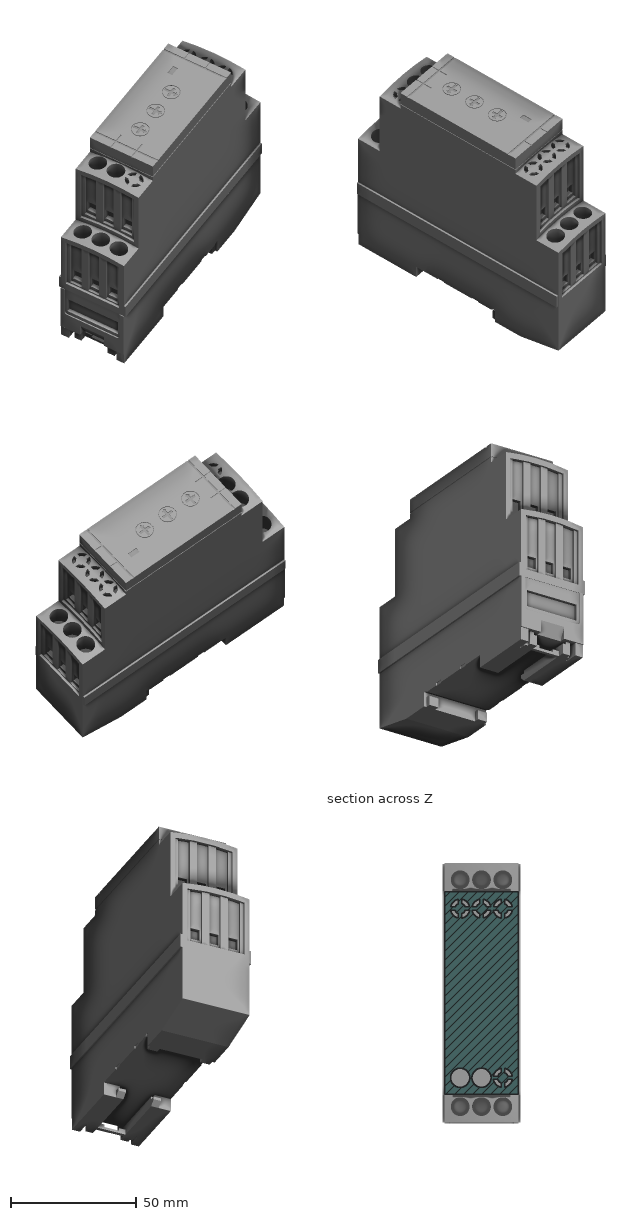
import cadquery as cq
import math

LENGTH = 103.8
WIDTH = 31.1
HEIGHT = 96.9
EPS = 1.0

BODY_WIDTH = 29.6
HALF_BODY = BODY_WIDTH / 2
END_INSET = 0.3
FOOT_INSET = 0.5

LOWER_HALF = LENGTH / 2
UPPER_HALF = 40.5
COVER_HALF = 29.7
LOWER_EDGE_Z = 58.2
UPPER_EDGE_Z = 88.4
CROWN_RISE = 1.2
CROWN_RADIUS = (HALF_BODY**2 + CROWN_RISE**2) / (2 * CROWN_RISE)
FLANGE_BOTTOM = 28.3
FLANGE_TOP = 34.4
COVER_GROOVE_Z = 90.6
COVER_GROOVE_HEIGHT = 0.5
COVER_GROOVE_DEPTH = 0.2

TERMINAL_XS = (-8.5, 0.0, 8.5)
SCREW_RADIUS = 3.7
LOWER_SCREW_Y = 45.2
UPPER_SCREW_Y = 33.7
SCREW_HOLE_DEPTH = 8.3
SCREW_INNER_RADIUS = 2.2
SCREW_ARM = 1.6
SCREW_POCKET_DEPTH = 2.1
PANEL_WIDTH = 25.1
PANEL_TOP_GAP = 2.5
PANEL_DEPTH = 1.0
SLOT_XS = (-8.4, 0.0, 8.4)
SLOT_WIDTHS = (5.3, 5.0, 5.3)
SLOT_DEPTH = 1.0
WIRE_WIDTH = 3.9
WIRE_HEIGHT = 5.0
WIRE_DEPTH = 1.9
WIRE_RISE = 1.8
LOWER_PANEL_Z = 31.9
LOWER_SLOT_Z = 32.6
UPPER_PANEL_Z = 61.7
UPPER_SLOT_Z = 62.8

MARK_DEPTH = 0.3
STRIP_GROOVE_Y = 25.9
STRIP_GROOVE_WIDTH = 0.8
DIVIDER_X = 4.9
DIVIDER_WIDTH = 0.5
FRONT_DIVIDER_END = 21.9
LAMP_WIDTH = 2.2
LAMP_LENGTH = 4.3
LAMP_X = -5.6
LAMP_Y = 18.3
DIAL_YS = (8.1, -3.6, -15.4)
DIAL_RADIUS = 3.7
DIAL_RING = 0.3
DIAL_SLOT = 1.1
DIAL_SLOT_LENGTH = 4.8
DIAL_POINTER_TAIL = -3.0
DIAL_POINTER_NECK = 1.9
DIAL_POINTER_TIP = 2.9

WINDOW_WIDTH = 25.8
WINDOW_BOTTOM = 13.9
WINDOW_CORNER = 1.2
WINDOW_DEPTH = 0.5
WINDOW_POCKET_WIDTH = 23.7
WINDOW_POCKET_BOTTOM = 15.7
WINDOW_POCKET_TOP = 22.8
WINDOW_POCKET_DEPTH = 1.6

SEAT_Z = 5.6
SEAT_BACK = 19.2
SEAT_FRONT = -21.6
RELIEF_Z = 6.3
RELIEF_WIDTH = 2.1
BACK_BEVEL_Y = 32.2
BACK_BEVEL_Z = 4.0
HOOK_REACH = 2.3
BACK_HOOK_TOP = 4.5
BACK_HOOK_BEVEL = 0.5
BACK_HOOK_INNER = 9.4
BACK_HOOK_OUTER = 13.7
FRONT_HOOK_TOP = 3.2
FRONT_HOOK_TIP_Z = 2.0
SIDE_NOTCH_YS = (8.7, -8.8)
SIDE_NOTCH_WIDTH = 3.3
SIDE_NOTCH_HEIGHT = 1.1
SIDE_NOTCH_DEPTH = 0.3

FOOT_INNER = 11.2
CLIP_OUTER = 9.4
CLIP_INNER = 6.1
CLIP_SETBACK = 1.3
SLIT_DEPTH = 6.2
POST_OUTER = 10.7
POST_SETBACK = 3.1
POST_ROUND = 1.0
CLIP_RAIL_HALF = 7.7
CLIP_RAIL_HEIGHT = 1.1
TONGUE_SETBACK = 4.3
TONGUE_THICKNESS = 1.6
TONGUE_HIGH = 2.3
TONGUE_LOW = 1.1
TONGUE_DIP_HALF = 3.2
TOOL_SLOT_WIDTH = 11.1
TOOL_SLOT_TOP = 10.9
TOOL_SLOT_DEPTH = 2.7


def block(x_range, y_range, z_range):
    """Box spanning the given ranges."""
    (x0, x1), (y0, y1), (z0, z1) = x_range, y_range, z_range
    return cq.Workplane("XY").box(x1 - x0, y1 - y0, z1 - z0, centered=False).translate((x0, y0, z0))


def centred_block(width, y_range, z_range):
    """Box centred on X."""
    return block((-width / 2, width / 2), y_range, z_range)


def side_profile(points, x0, x1):
    """Extrude a (Y, Z) outline from x0 to x1."""
    return cq.Workplane("YZ", origin=(x0, 0, 0)).polyline(points).close().extrude(x1 - x0)


def both_sides(shape):
    """The shape and its mirror image in the X = 0 plane."""
    return shape.union(shape.mirror("YZ"))


def both_ends(shape):
    """The shape and its mirror image in the Y = 0 plane."""
    return shape.union(shape.mirror("XZ"))


def arched_block(width, y_range, bottom, crown, bottom_arched=False):
    """Block whose top, and optionally bottom, follows the tier arch."""
    half = width / 2
    drop = CROWN_RADIUS - math.sqrt(CROWN_RADIUS**2 - half**2)
    y0, y1 = y_range
    outline = cq.Workplane("XZ", origin=(0, y1, 0)).moveTo(half, crown - drop)
    outline = outline.threePointArc((0, crown), (-half, crown - drop))
    if bottom_arched:
        outline = outline.lineTo(-half, bottom - drop)
        outline = outline.threePointArc((0, bottom), (half, bottom - drop))
    else:
        outline = outline.lineTo(-half, bottom).lineTo(half, bottom)
    return outline.close().extrude(y1 - y0)


def make_housing():
    lower_crown = LOWER_EDGE_Z + CROWN_RISE
    upper_crown = UPPER_EDGE_Z + CROWN_RISE
    flange_half = LOWER_HALF - END_INSET
    housing = arched_block(BODY_WIDTH, (-flange_half, LOWER_HALF), FLANGE_BOTTOM, lower_crown)
    housing = housing.union(arched_block(BODY_WIDTH, (-UPPER_HALF, UPPER_HALF), FLANGE_TOP, upper_crown))
    housing = housing.union(centred_block(BODY_WIDTH, (-COVER_HALF, COVER_HALF), (FLANGE_TOP, HEIGHT)))
    housing = housing.union(centred_block(WIDTH, (-flange_half, flange_half), (FLANGE_BOTTOM, FLANGE_TOP)))
    return housing.union(make_base()).cut(make_cover_groove())


def make_base():
    foot_front = -LOWER_HALF + FOOT_INSET
    outline = [
        (-LOWER_HALF, FLANGE_BOTTOM),
        (-LOWER_HALF, SEAT_Z),
        (foot_front, SEAT_Z),
        (foot_front, 0),
        (SEAT_FRONT, 0),
        (SEAT_FRONT, SEAT_Z),
        (SEAT_BACK - RELIEF_WIDTH, SEAT_Z),
        (SEAT_BACK - RELIEF_WIDTH / 2, RELIEF_Z),
        (SEAT_BACK, RELIEF_Z),
        (SEAT_BACK, 0),
        (BACK_BEVEL_Y, 0),
        (LOWER_HALF, BACK_BEVEL_Z),
        (LOWER_HALF, FLANGE_BOTTOM),
    ]
    return side_profile(outline, -HALF_BODY, HALF_BODY)


def make_cover_groove():
    """Shallow groove around the cover."""
    z_range = (COVER_GROOVE_Z, COVER_GROOVE_Z + COVER_GROOVE_HEIGHT)
    inner_half = COVER_HALF - COVER_GROOVE_DEPTH
    outer = centred_block(WIDTH, (-COVER_HALF - EPS, COVER_HALF + EPS), z_range)
    return outer.cut(centred_block(BODY_WIDTH - 2 * COVER_GROOVE_DEPTH, (-inner_half, inner_half), z_range))


def screw_hole(x, y, tier_edge_z):
    top = tier_edge_z + CROWN_RISE + EPS
    hole = cq.Workplane("XY", origin=(x, y, tier_edge_z - SCREW_HOLE_DEPTH)).circle(SCREW_RADIUS)
    return hole.extrude(top - tier_edge_z + SCREW_HOLE_DEPTH)


def screw_pockets(x, y):
    """Four pockets that leave a cross-shaped screw head level with the upper tier."""
    bottom = UPPER_EDGE_Z - SCREW_POCKET_DEPTH
    height = SCREW_POCKET_DEPTH + CROWN_RISE + EPS
    plane = cq.Workplane("XY", origin=(x, y, bottom))
    ring = plane.circle(SCREW_RADIUS).circle(SCREW_INNER_RADIUS).extrude(height)
    arm = plane.rect(2 * SCREW_RADIUS, SCREW_ARM).extrude(height)
    cross_arm = plane.rect(SCREW_ARM, 2 * SCREW_RADIUS).extrude(height)
    return ring.cut(arm).cut(cross_arm)


def terminal_panel(face_y, tier_edge_z, panel_z, slot_z, bottom_arched):
    """Recess in a front terminal face, with three slots that end at wire openings."""
    crown = tier_edge_z + CROWN_RISE - PANEL_TOP_GAP
    panel_back = face_y + PANEL_DEPTH
    slot_back = panel_back + SLOT_DEPTH
    front = face_y - EPS
    cutter = arched_block(PANEL_WIDTH, (front, panel_back), panel_z, crown, bottom_arched)
    slot_limit = arched_block(PANEL_WIDTH, (front, slot_back), slot_z, crown)
    wire_z = slot_z + WIRE_RISE
    for x, slot_width in zip(SLOT_XS, SLOT_WIDTHS):
        slot_x = (x - slot_width / 2, x + slot_width / 2)
        wire_x = (x - WIRE_WIDTH / 2, x + WIRE_WIDTH / 2)
        slot = block(slot_x, (front, slot_back), (slot_z, crown)).intersect(slot_limit)
        wire = block(wire_x, (front, slot_back + WIRE_DEPTH), (wire_z, wire_z + WIRE_HEIGHT))
        cutter = cutter.union(slot).union(wire)
    return cutter


def cut_terminals(body):
    lower_front = -LOWER_HALF + END_INSET
    lower_panel = terminal_panel(lower_front, LOWER_EDGE_Z, LOWER_PANEL_Z, LOWER_SLOT_Z, False)
    upper_panel = terminal_panel(-UPPER_HALF, UPPER_EDGE_Z, UPPER_PANEL_Z, UPPER_SLOT_Z, True)
    back_shift = (0, END_INSET, 0)
    body = body.cut(lower_panel).cut(lower_panel.mirror("XZ").translate(back_shift))
    body = body.cut(both_ends(upper_panel))
    for x in TERMINAL_XS:
        body = body.cut(both_ends(screw_hole(x, -LOWER_SCREW_Y, LOWER_EDGE_Z)))
        body = body.cut(screw_pockets(x, UPPER_SCREW_Y))
    left_x, middle_x, right_x = TERMINAL_XS
    for x in (left_x, middle_x):
        body = body.cut(screw_hole(x, -UPPER_SCREW_Y, UPPER_EDGE_Z))
    return body.cut(screw_pockets(right_x, -UPPER_SCREW_Y))


def dial_marks(y):
    """Ring, screwdriver slot and arrow of one setting dial."""
    plane = cq.Workplane("XY", origin=(0, y, HEIGHT - MARK_DEPTH))
    height = MARK_DEPTH + EPS
    half_slot = DIAL_SLOT / 2
    ring = plane.circle(DIAL_RADIUS).circle(DIAL_RADIUS - DIAL_RING).extrude(height)
    slot = plane.rect(DIAL_SLOT, DIAL_SLOT_LENGTH).extrude(height)
    arrow = plane.polyline([
        (DIAL_POINTER_TAIL, half_slot),
        (DIAL_POINTER_NECK, half_slot),
        (DIAL_POINTER_NECK, DIAL_SLOT),
        (DIAL_POINTER_TIP, 0),
        (DIAL_POINTER_NECK, -DIAL_SLOT),
        (DIAL_POINTER_NECK, -half_slot),
        (DIAL_POINTER_TAIL, -half_slot),
    ]).close().extrude(height)
    return ring.union(slot).union(arrow)


def cut_cover_marks(body):
    z_range = (HEIGHT - MARK_DEPTH, HEIGHT + EPS)
    half_groove = STRIP_GROOVE_WIDTH / 2
    strip_y = (STRIP_GROOVE_Y - half_groove, STRIP_GROOVE_Y + half_groove)
    divider_x = (DIVIDER_X - DIVIDER_WIDTH / 2, DIVIDER_X + DIVIDER_WIDTH / 2)
    lamp_x = (LAMP_X - LAMP_WIDTH / 2, LAMP_X + LAMP_WIDTH / 2)
    lamp_y = (LAMP_Y - LAMP_LENGTH / 2, LAMP_Y + LAMP_LENGTH / 2)
    back_divider = block(divider_x, (STRIP_GROOVE_Y, COVER_HALF + EPS), z_range)
    front_divider = block(divider_x, (-COVER_HALF - EPS, -FRONT_DIVIDER_END), z_range)
    body = body.cut(both_ends(centred_block(WIDTH, strip_y, z_range)))
    body = body.cut(both_sides(back_divider)).cut(both_sides(front_divider))
    body = body.cut(block(lamp_x, lamp_y, z_range))
    for y in DIAL_YS:
        body = body.cut(dial_marks(y))
    return body


def cut_window(body):
    front = -LOWER_HALF - EPS
    recess_back = -LOWER_HALF + WINDOW_DEPTH
    recess = centred_block(WINDOW_WIDTH, (front, recess_back), (WINDOW_BOTTOM, FLANGE_BOTTOM))
    recess = recess.edges("|Y and <Z").fillet(WINDOW_CORNER)
    pocket_y = (front, recess_back + WINDOW_POCKET_DEPTH)
    pocket = centred_block(WINDOW_POCKET_WIDTH, pocket_y, (WINDOW_POCKET_BOTTOM, WINDOW_POCKET_TOP))
    return body.cut(recess).cut(pocket)


def cut_release_clip(body):
    foot_front = -LOWER_HALF + FOOT_INSET
    front = -LOWER_HALF - EPS
    foot_z = (-EPS, SEAT_Z)
    channel = centred_block(2 * CLIP_INNER, (front, SEAT_FRONT), foot_z)
    guide = centred_block(2 * CLIP_RAIL_HALF, (front, SEAT_FRONT), (SEAT_Z - CLIP_RAIL_HEIGHT, SEAT_Z))
    setback = centred_block(2 * FOOT_INNER, (front, foot_front + CLIP_SETBACK), foot_z)
    slit = block((CLIP_OUTER, FOOT_INNER), (front, foot_front + SLIT_DEPTH), foot_z)
    post_y = (foot_front + POST_SETBACK, foot_front + SLIT_DEPTH)
    post = block((CLIP_OUTER, POST_OUTER), post_y, foot_z)
    slit = slit.cut(post.edges("|Z and >X and <Y").fillet(POST_ROUND))
    tool_slot = side_profile(
        [
            (-LOWER_HALF, SEAT_Z),
            (-LOWER_HALF, TOOL_SLOT_TOP),
            (-LOWER_HALF + TOOL_SLOT_DEPTH, SEAT_Z),
        ],
        -TOOL_SLOT_WIDTH / 2,
        TOOL_SLOT_WIDTH / 2,
    )
    body = body.cut(channel).cut(guide).cut(setback).cut(both_sides(slit)).cut(tool_slot)

    tongue_front = foot_front + TONGUE_SETBACK
    tongue_y = (tongue_front, tongue_front + TONGUE_THICKNESS)
    tongue = centred_block(2 * CLIP_INNER, tongue_y, (0, TONGUE_HIGH))
    return body.union(tongue.cut(centred_block(2 * TONGUE_DIP_HALF, tongue_y, (TONGUE_LOW, TONGUE_HIGH))))


def add_rail_hooks(body):
    back_tip = SEAT_BACK - HOOK_REACH
    back_outline = [
        (SEAT_BACK, 0),
        (back_tip, 0),
        (back_tip, BACK_HOOK_TOP - BACK_HOOK_BEVEL),
        (back_tip + BACK_HOOK_BEVEL, BACK_HOOK_TOP),
        (SEAT_BACK, BACK_HOOK_TOP),
    ]
    front_tip = SEAT_FRONT + HOOK_REACH
    front_outline = [
        (SEAT_FRONT, 0),
        (front_tip, FRONT_HOOK_TIP_Z),
        (front_tip, FRONT_HOOK_TOP),
        (SEAT_FRONT, FRONT_HOOK_TOP),
    ]
    body = body.union(both_sides(side_profile(back_outline, BACK_HOOK_INNER, BACK_HOOK_OUTER)))
    return body.union(both_sides(side_profile(front_outline, CLIP_INNER, CLIP_OUTER)))


def cut_side_notches(body):
    """Small notches where the seat meets the sides."""
    x_range = (HALF_BODY - SIDE_NOTCH_DEPTH, HALF_BODY + EPS)
    for y in SIDE_NOTCH_YS:
        y_range = (y - SIDE_NOTCH_WIDTH / 2, y + SIDE_NOTCH_WIDTH / 2)
        notch = block(x_range, y_range, (SEAT_Z - EPS, SEAT_Z + SIDE_NOTCH_HEIGHT))
        body = body.cut(both_sides(notch))
    return body


part = make_housing()
part = cut_terminals(part)
part = cut_cover_marks(part)
part = cut_window(part)
part = cut_release_clip(part)
part = add_rail_hooks(part)
part = cut_side_notches(part)
result = part